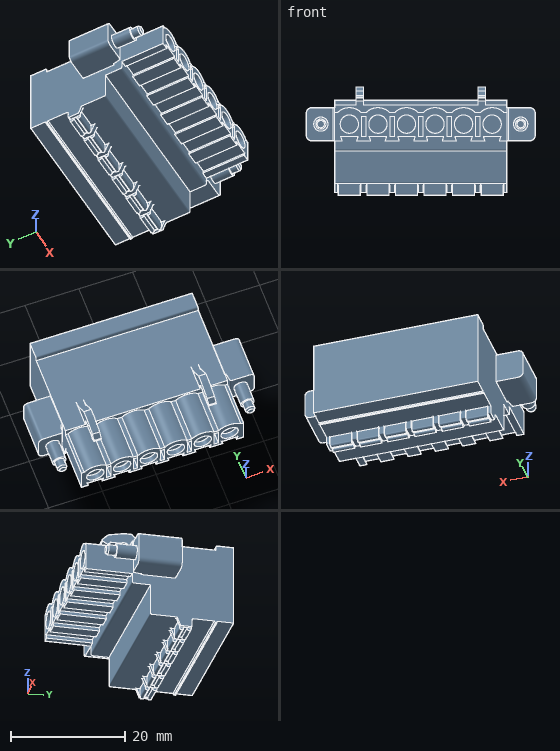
import cadquery as cq


pole_count = 6
pole_span = 25.0
pole_pitch = pole_span / (pole_count - 1)
pole_axis_z = 10.43

body_width = 30.15
body_depth = 18.3
body_top = 13.8
rim_top = 14.65
rim_depth = 3.2
rim_round = 0.32
step_z = 5.7
step_y = 3.3
step_round = 0.35
lower_edge_round = 0.25

nose_length = 8.3
nose_bottom = 7.5
valley_z = 12.45
pole_radius = 2.9
bore_radius = 1.6
bore_depth = 1.0
slot_width = 0.75
slot_bottom = 8.25
slot_top = 11.75
key_top = 8.25
key_top_width = 3.05
key_mouth_width = 2.55

overall_width = 40.1
flange_depth = 7.78
flange_round = 0.95
flange_top = pole_axis_z + pole_radius
relief_depth = 1.55
relief_inner = 0.25
relief_mouth = 0.55
relief_round = 0.2

screw_x = 17.5
shank_radius = 1.25
shank_length = 3.6
tip_radius = 0.9
tip_length = 1.75
tip_chamfer = 0.25
tip_chamfer_length = 0.35

clip_x = 10.65
clip_width = 1.35
clip_top = 16.95
clip_crest_rear = 0.8
clip_gap_z = 15.0
clip_root_rise = 0.15
clip_ramp_round = 1.92
clip_anchor = 0.4

foot_width = 3.9
foot_rear = 10.8
foot_front = 8.7
foot_height = 1.55
rib_width = 0.92
rib_root_front = 8.1
rib_round = 0.2
rib_anchor = 0.4
ridge_height = 0.5
ridge_width = 0.72
ridge_round = 0.32
bead_rear = 15.28
bead_width = 0.5
bead_tip_width = 0.3
bead_height = 0.3


def row_positions(count):
    """X positions of items spaced by one pole pitch, centred on the housing."""
    return [(i - (count - 1) / 2) * pole_pitch for i in range(count)]


def round_edge(solid, y, z, radius):
    """Round the X-direction edge that lies at (y, z)."""
    x = solid.val().Center().x
    nearest = cq.selectors.NearestToPointSelector((x, y, z))
    return solid.edges("|X").edges(nearest).fillet(radius)


def box(x_min, x_max, y_min, y_max, z_min, z_max):
    """Block spanning the given limits."""
    return cq.Workplane("XY").box(
        x_max - x_min, y_max - y_min, z_max - z_min, centered=False
    ).translate((x_min, y_min, z_min))


def side_profile(points, x_center, width):
    """Extrude a closed outline of (Y, Z) points along X."""
    start = x_center - width / 2
    return cq.Workplane("YZ", origin=(start, 0, 0)).polyline(points).close().extrude(width)


def front_cylinder(x, z, radius, y_start, length):
    """Cylinder running from y_start toward -Y."""
    return cq.Workplane("XZ", origin=(x, y_start, z)).circle(radius).extrude(length)


def make_body():
    """Housing with a raised rear rim and an overhanging front."""
    rim_front = body_depth - rim_depth
    outline = [
        (step_y, 0),
        (step_y, step_z),
        (0, step_z),
        (0, body_top),
        (rim_front, body_top),
        (rim_front, rim_top),
        (body_depth, rim_top),
        (body_depth, 0),
    ]
    body = side_profile(outline, 0, body_width)
    body = round_edge(body, rim_front, rim_top, rim_round)
    body = round_edge(body, 0, step_z, step_round)
    return round_edge(body, step_y, 0, lower_edge_round)


def make_nose():
    """Mating nose with barrel crowns, bores, key grooves and slots."""
    half_width = body_width / 2
    nose = box(-half_width, half_width, -nose_length, 0, nose_bottom, valley_z)
    for x in row_positions(pole_count):
        barrel = front_cylinder(x, pole_axis_z, pole_radius, 0, nose_length)
        crown = barrel.intersect(
            box(x - pole_radius, x + pole_radius, -nose_length, 0, valley_z, flange_top)
        )
        nose = nose.union(crown)
    for x in row_positions(pole_count):
        bore = front_cylinder(x, pole_axis_z, bore_radius, bore_depth - nose_length, bore_depth)
        nose = nose.cut(bore)
        groove = (
            cq.Workplane("XZ", origin=(x, 0, 0))
            .polyline([
                (-key_mouth_width / 2, nose_bottom),
                (key_mouth_width / 2, nose_bottom),
                (key_top_width / 2, key_top),
                (-key_top_width / 2, key_top),
            ])
            .close()
            .extrude(nose_length)
        )
        nose = nose.cut(groove)
    for x in row_positions(pole_count - 1):
        half_slot = slot_width / 2
        nose = nose.cut(box(x - half_slot, x + half_slot, -nose_length, 0, slot_bottom, slot_top))
    return nose


def make_left_flange():
    """Flange block with its screw, on the -X end."""
    outer = -overall_width / 2
    inner = -body_width / 2
    flange = box(outer, inner, 0, flange_depth, nose_bottom, flange_top)
    flange = flange.edges("<X and |Y").fillet(flange_round)
    relief = (
        cq.Workplane("XY", origin=(0, 0, nose_bottom))
        .polyline([
            (inner, 0),
            (inner, relief_depth),
            (inner - relief_inner, relief_depth),
            (inner - relief_mouth, 0),
        ])
        .close()
        .extrude(flange_top - nose_bottom)
    )
    shank = front_cylinder(-screw_x, pole_axis_z, shank_radius, 0, shank_length)
    tip = front_cylinder(-screw_x, pole_axis_z, tip_radius, -shank_length, tip_length)
    tip = tip.faces("<Y").chamfer(tip_chamfer_length, tip_chamfer)
    flange = flange.cut(relief)
    mouth_edge = cq.selectors.NearestToPointSelector((inner - relief_mouth, 0, pole_axis_z))
    flange = flange.edges("|Z").edges(mouth_edge).fillet(relief_round)
    return flange.union(shank).union(tip)


def make_clip(x):
    """Latching arm reaching forward from the housing top, hooked at its end."""
    ramp_foot = clip_crest_rear + clip_top - body_top
    anchor_rear = ramp_foot + clip_ramp_round
    anchor_bottom = body_top - clip_anchor
    arm_root_z = clip_gap_z + clip_root_rise
    outline = [
        (0, anchor_bottom),
        (0, clip_gap_z),
        (-0.2, arm_root_z),
        (-0.9, arm_root_z),
        (-1.0, clip_gap_z),
        (-2.95, clip_gap_z),
        (-3.5, 14.5),
        (-4.4, 15.05),
        (-4.55, 15.2),
        (-4.45, 15.4),
        (-3.6, 16.25),
        (-3.3, 16.4),
        (-0.95, 16.9),
        (-0.52, clip_top),
        (clip_crest_rear, clip_top),
        (ramp_foot, body_top),
        (anchor_rear, body_top),
        (anchor_rear, anchor_bottom),
    ]
    clip = side_profile(outline, x, clip_width)
    return round_edge(clip, ramp_foot, body_top, clip_ramp_round)


def make_foot(x):
    """Foot block under one pole with two rounded ridges along its edges."""
    half_width = foot_width / 2
    foot = box(x - half_width, x + half_width, foot_front, foot_rear, -foot_height, 0)
    for front in (foot_front, foot_rear - ridge_width):
        ridge = box(
            x - half_width, x + half_width, front, front + ridge_width,
            -foot_height - ridge_height, -foot_height,
        )
        foot = foot.union(ridge.faces("<Z").edges("|X").fillet(ridge_round))
    return foot


def make_rib(x):
    """Wedge rib between two feet, trimmed to the housing width."""
    left = max(x - rib_width / 2, -body_width / 2)
    right = min(x + rib_width / 2, body_width / 2)
    anchor_front = rib_root_front - rib_anchor
    anchor_rear = foot_rear + rib_anchor
    outline = [
        (anchor_front, 0),
        (rib_root_front, 0),
        (foot_front, -foot_height),
        (foot_rear, -foot_height),
        (foot_rear, 0),
        (anchor_rear, 0),
        (anchor_rear, rib_anchor),
        (anchor_front, rib_anchor),
    ]
    rib = side_profile(outline, (left + right) / 2, right - left)
    rounded_corners = [
        (rib_root_front, 0),
        (foot_front, -foot_height),
        (foot_rear, -foot_height),
        (foot_rear, 0),
    ]
    for y, z in rounded_corners:
        rib = round_edge(rib, y, z, rib_round)
    return rib


def make_bead():
    """Small strip across the underside, upright at the rear and sloping at the front."""
    outline = [
        (bead_rear, 0),
        (bead_rear, -bead_height),
        (bead_rear - bead_tip_width, -bead_height),
        (bead_rear - bead_width, 0),
    ]
    return side_profile(outline, 0, body_width)


left_flange = make_left_flange()
result = make_body().union(make_nose()).union(left_flange).union(left_flange.mirror("YZ"))
for clip_center in (-clip_x, clip_x):
    result = result.union(make_clip(clip_center))
for pole_x in row_positions(pole_count):
    result = result.union(make_foot(pole_x))
for rib_x in row_positions(pole_count + 1):
    result = result.union(make_rib(rib_x))
result = result.union(make_bead())